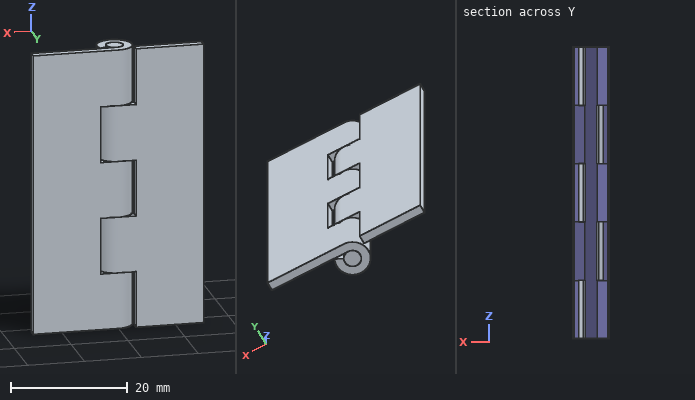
import cadquery as cq
import math

hinge_height = 50.0
hinge_width = 30.0
pin_radius = 1.5
sheet_thickness = 1.6
knuckle_count = 5
curl_end_angle = 27.0

leaf_reach = hinge_width / 2
barrel_radius = pin_radius + sheet_thickness
knuckle_height = hinge_height / knuckle_count


def point_on_circle(radius, degrees):
    angle = math.radians(degrees)
    return (radius * math.cos(angle), radius * math.sin(angle))


def make_plate():
    """Flat plate on the +X side, ending flush with the side of the barrel."""
    return (
        cq.Workplane("XY")
        .moveTo(barrel_radius, pin_radius)
        .lineTo(leaf_reach, pin_radius)
        .lineTo(leaf_reach, barrel_radius)
        .lineTo(barrel_radius, barrel_radius)
        .close()
        .extrude(hinge_height)
    )


def make_knuckle(index):
    """Sheet tangent to the barrel, rolled around the pin to an open end."""
    curl_middle_angle = (90 + 360 + curl_end_angle) / 2
    return (
        cq.Workplane("XY", origin=(0, 0, index * knuckle_height))
        .moveTo(barrel_radius, barrel_radius)
        .lineTo(0, barrel_radius)
        .threePointArc(
            point_on_circle(barrel_radius, curl_middle_angle),
            point_on_circle(barrel_radius, curl_end_angle),
        )
        .lineTo(*point_on_circle(pin_radius, curl_end_angle))
        .threePointArc(point_on_circle(pin_radius, curl_middle_angle), (0, pin_radius))
        .lineTo(barrel_radius, pin_radius)
        .close()
        .extrude(knuckle_height)
    )


def make_leaf(first_knuckle):
    """Plate with every second knuckle, starting at first_knuckle."""
    leaf = make_plate()
    for index in range(first_knuckle, knuckle_count, 2):
        leaf = leaf.union(make_knuckle(index))
    return leaf


def make_pin():
    """Plain pin, flush with both ends of the barrel."""
    return cq.Workplane("XY").circle(pin_radius).extrude(hinge_height)


right_leaf = make_leaf(first_knuckle=0)
left_leaf = make_leaf(first_knuckle=1).mirror("YZ")
pin = make_pin()

result = cq.Compound.makeCompound([right_leaf.val(), left_leaf.val(), pin.val()])